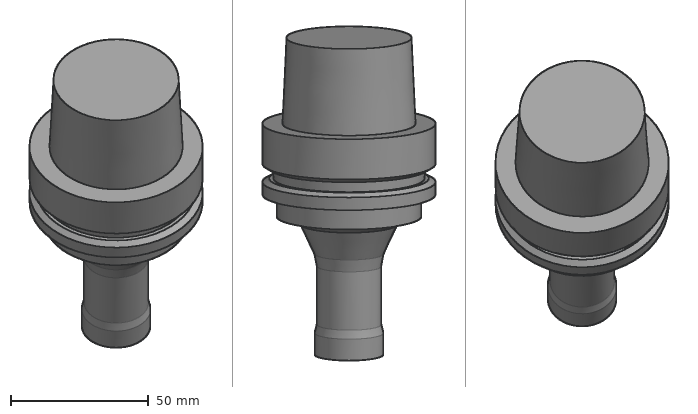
import cadquery as cq

TIP_COLLAR_TOP = 8.1
TIP_CONE_TOP = 11.2
NECK_TOP = 32.8
NECK_CONE_TOP = 37.3
FLARE_TOP = 48.2
COLLAR_BOTTOM = 51.0
FLANGE_BOTTOM = 59.1
GROOVE_OUTER_BOTTOM = 63.8
GROOVE_INNER_BOTTOM = 65.0
GROOVE_INNER_TOP = 68.9
GROOVE_OUTER_TOP = 70.4
FLANGE_TOP = 85.3
TOTAL_HEIGHT = 117.0

TIP_COLLAR_DIAMETER = 25.0
NECK_DIAMETER = 23.5
NECK_CONE_DIAMETER = 25.3
FLARE_DIAMETER = 35.3
SHOULDER_DIAMETER = 44.2
COLLAR_DIAMETER = 52.6
FLANGE_DIAMETER = 63.0
GROOVE_LIP_DIAMETER = 58.0
GROOVE_DIAMETER = 55.0
SHANK_BASE_DIAMETER = 48.4
SHANK_TOP_DIAMETER = 45.5


def profile_point(diameter, height):
    """Point of the half section in the XZ plane."""
    return (diameter / 2, height)


profile = (
    cq.Workplane("XZ")
    .lineTo(*profile_point(TIP_COLLAR_DIAMETER, 0))
    .lineTo(*profile_point(TIP_COLLAR_DIAMETER, TIP_COLLAR_TOP))
    .lineTo(*profile_point(NECK_DIAMETER, TIP_CONE_TOP))
    .lineTo(*profile_point(NECK_DIAMETER, NECK_TOP))
    .lineTo(*profile_point(NECK_CONE_DIAMETER, NECK_CONE_TOP))
    .lineTo(*profile_point(FLARE_DIAMETER, FLARE_TOP))
    .lineTo(*profile_point(SHOULDER_DIAMETER, COLLAR_BOTTOM))
    .lineTo(*profile_point(COLLAR_DIAMETER, COLLAR_BOTTOM))
    .lineTo(*profile_point(COLLAR_DIAMETER, FLANGE_BOTTOM))
    .lineTo(*profile_point(FLANGE_DIAMETER, FLANGE_BOTTOM))
    .lineTo(*profile_point(FLANGE_DIAMETER, GROOVE_OUTER_BOTTOM))
    .lineTo(*profile_point(GROOVE_LIP_DIAMETER, GROOVE_INNER_BOTTOM))
    .lineTo(*profile_point(GROOVE_DIAMETER, GROOVE_INNER_BOTTOM))
    .lineTo(*profile_point(GROOVE_DIAMETER, GROOVE_INNER_TOP))
    .lineTo(*profile_point(GROOVE_LIP_DIAMETER, GROOVE_INNER_TOP))
    .lineTo(*profile_point(FLANGE_DIAMETER, GROOVE_OUTER_TOP))
    .lineTo(*profile_point(FLANGE_DIAMETER, FLANGE_TOP))
    .lineTo(*profile_point(SHANK_BASE_DIAMETER, FLANGE_TOP))
    .lineTo(*profile_point(SHANK_TOP_DIAMETER, TOTAL_HEIGHT))
    .lineTo(0, TOTAL_HEIGHT)
    .close()
)

result = profile.revolve(360, (0, 0, 0), (0, 1, 0))